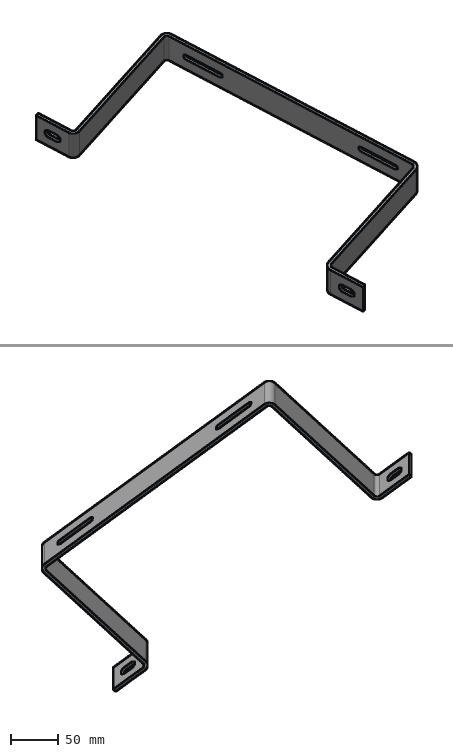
import cadquery as cq

overall_length = 420.0
overall_depth = 174.0
strap_width = 40.0
thickness = 4.0
inner_bend_radius = 4.0
inside_span = 320.0

flange_hole_length = 20.0
flange_hole_height = 11.0
flange_hole_end_offset = 21.0

web_slot_length = 50.0
web_slot_height = 7.0
web_slot_spacing = 225.0

outer_bend_radius = inner_bend_radius + thickness
half_length = overall_length / 2
half_inside = inside_span / 2
half_outside = half_inside + thickness
web_inner_y = overall_depth - thickness
flange_hole_x = half_length - flange_hole_end_offset
web_slot_x = web_slot_spacing / 2


def block(half_width, y_start, y_end):
    """Box centred on X and Z, running from y_start to y_end."""
    return (
        cq.Workplane("XY")
        .box(2 * half_width, y_end - y_start, strap_width, centered=(True, False, True))
        .translate((0, y_start, 0))
    )


def edges_at(body, half_width, y):
    """Pair of upright edges at X = +/-half_width and the given Y."""
    left = cq.selectors.NearestToPointSelector((-half_width, y, 0))
    right = cq.selectors.NearestToPointSelector((half_width, y, 0))
    return body.edges("|Z").edges(left + right)


def bent_strap():
    """Hat-shaped strap with two flanges, two legs and a back web."""
    flanges = block(half_length, 0, thickness)
    hat = block(half_outside, 0, overall_depth)
    hollow = block(half_inside, 0, web_inner_y)
    strap = flanges.union(hat).cut(hollow)
    bends = [
        (half_inside, 0, outer_bend_radius),
        (half_outside, thickness, inner_bend_radius),
        (half_inside, web_inner_y, inner_bend_radius),
        (half_outside, overall_depth, outer_bend_radius),
    ]
    for half_width, y, radius in bends:
        strap = edges_at(strap, half_width, y).fillet(radius)
    return strap


def slot_pair(x, length, height):
    """Cutters for two mirrored round-ended slots running through in Y."""
    return (
        cq.Workplane("XZ")
        .pushPoints([(-x, 0), (x, 0)])
        .slot2D(length, height)
        .extrude(-overall_depth)
    )


flange_holes = slot_pair(flange_hole_x, flange_hole_length, flange_hole_height)
web_slots = slot_pair(web_slot_x, web_slot_length, web_slot_height)

result = bent_strap().cut(flange_holes).cut(web_slots)